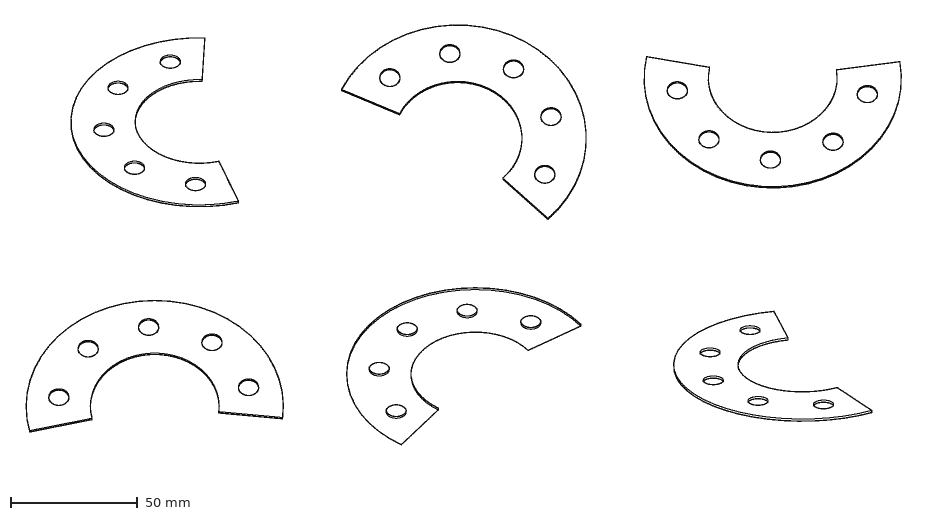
import cadquery as cq
import math

overall_length = 100.8
thickness = 1.0
start_angle = 150.0
end_angle = 350.0
hole_diameter = 8.0
hole_count = 5
hole_pitch = 40.0
first_hole_offset = 20.0

outer_radius = overall_length / (1 + math.cos(math.radians(end_angle)))
inner_radius = outer_radius / 2
hole_circle_radius = (outer_radius + inner_radius) / 2


def polar(radius, angle):
    """Point at a radius and an angle in degrees about the ring centre."""
    return (radius * math.cos(math.radians(angle)), radius * math.sin(math.radians(angle)))


def ring_sector():
    """Flat ring segment between the two radial end edges."""
    middle_angle = (start_angle + end_angle) / 2
    return (
        cq.Workplane("XY")
        .moveTo(*polar(outer_radius, start_angle))
        .threePointArc(polar(outer_radius, middle_angle), polar(outer_radius, end_angle))
        .lineTo(*polar(inner_radius, end_angle))
        .threePointArc(polar(inner_radius, middle_angle), polar(inner_radius, start_angle))
        .close()
        .extrude(thickness)
    )


def bolt_holes():
    """Cylinders for the through holes, evenly spaced on the middle circle."""
    first_angle = start_angle + first_hole_offset
    centres = [polar(hole_circle_radius, first_angle + i * hole_pitch) for i in range(hole_count)]
    return cq.Workplane("XY").pushPoints(centres).circle(hole_diameter / 2).extrude(thickness)


result = ring_sector().cut(bolt_holes())